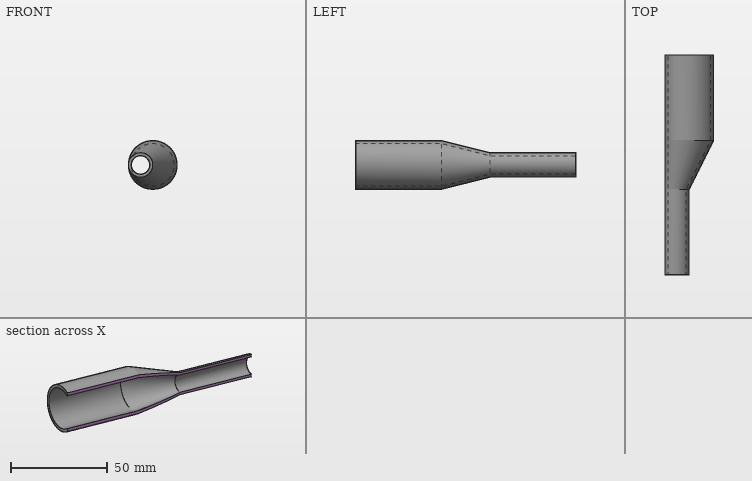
import cadquery as cq

total_length = 114.3
large_diameter = 25.4
small_diameter = large_diameter / 2
wall = 1.6
cone_length = 25.4
tube_length = (total_length - cone_length) / 2
axis_offset = (large_diameter - small_diameter) / 2


def circle_at(x, y, diameter):
    """Circle facing +Y, centred at (x, y, 0)."""
    return cq.Wire.makeCircle(diameter / 2, cq.Vector(x, y, 0), cq.Vector(0, 1, 0))


def reducer_body(inset):
    """Small tube, slanted cone and large tube, with every radius reduced by inset."""
    small = small_diameter - 2 * inset
    large = large_diameter - 2 * inset
    cone_end = tube_length + cone_length

    small_tube = cq.Solid.makeCylinder(
        small / 2, tube_length, cq.Vector(-axis_offset, 0, 0), cq.Vector(0, 1, 0)
    )
    cone = cq.Solid.makeLoft(
        [circle_at(-axis_offset, tube_length, small), circle_at(0, cone_end, large)], True
    )
    large_tube = cq.Solid.makeCylinder(
        large / 2, tube_length, cq.Vector(0, cone_end, 0), cq.Vector(0, 1, 0)
    )
    return cq.Workplane(obj=small_tube).union(cone).union(large_tube)


result = reducer_body(0).cut(reducer_body(wall))